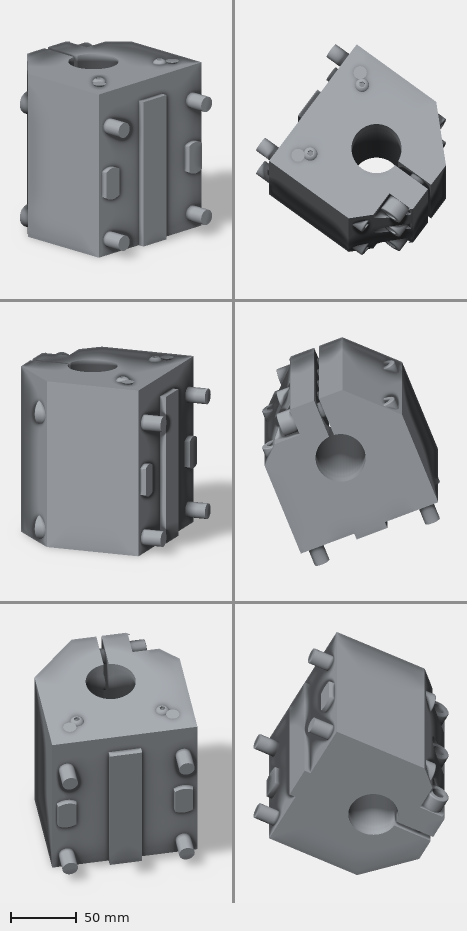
import cadquery as cq

BODY_HEIGHT = 130.0
BODY_WIDTH = 112.0
X_FRONT = -50.0
X_BACK = 60.0
CORNER_CHAMFER = 35.0
BORE_DIAMETER = 38.0
SLIT_WIDTH = 4.0

SHANK_DIAMETER = 12.0
HEAD_DIAMETER = 18.0
HEAD_HEIGHT = 12.0
HEAD_EDGE_FILLET = 0.9
SOCKET_DIAMETER = 10.0
SOCKET_DEPTH = 6.0

CLAMP_SCREW_X = -38.0
CLAMP_SEAT_Y = 22.0
CLAMP_SHANK_LENGTH = 40.0
CLAMP_END_OFFSET = 10.0
CLAMP_SCREW_Z = (CLAMP_END_OFFSET, BODY_HEIGHT / 2, BODY_HEIGHT - CLAMP_END_OFFSET)
POCKET_DIAMETER = 19.0

JACK_SCREW_Z = [(low + high) / 2 for low, high in zip(CLAMP_SCREW_Z, CLAMP_SCREW_Z[1:])]
JACK_CYLINDER_END_Y = 0.3

MOUNT_PITCH = 90.0
MOUNT_LENGTH = 90.0
MOUNT_TIP_X = 76.0
MOUNT_CENTER_Z = 57.5

KEY_WIDTH = 25.0
KEY_THICKNESS = 5.0
KEY_HEIGHT = 2 * MOUNT_CENTER_Z
PAD_DIAMETER = 25.0
PAD_THICKNESS = 4.3
PAD_STRAIGHT = 1.7
PAD_FLATS_WIDTH = 14.8
PAD_FLATS_TIP_WIDTH = 13.8

BUTTON_X = 38.0
BUTTON_Y = 33.0
BUTTON_DIAMETER = 10.6
BUTTON_FLAT_DIAMETER = 5.6
BUTTON_HEIGHT = 2.5
BUTTON_BULGE = 0.3
BUTTON_HEX_CORNERS = 4.6
BUTTON_HEX_DEPTH = 2.0
COUNTERSUNK_X = 44.7
COUNTERSUNK_Y = 39.7
COUNTERSUNK_DIAMETER = 10.0
COUNTERSUNK_RISE = 1.5


def cap_screw(shank_length):
    """Cap screw along Z: the shank ends at z = 0 and the head is on top."""
    shank = cq.Workplane("XY").circle(SHANK_DIAMETER / 2).extrude(shank_length)
    head = cq.Workplane("XY").circle(HEAD_DIAMETER / 2).extrude(HEAD_HEIGHT)
    head = head.faces(">Z").edges().fillet(HEAD_EDGE_FILLET)
    head = head.faces(">Z").workplane().hole(SOCKET_DIAMETER, SOCKET_DEPTH)
    return shank.union(head.translate((0, 0, shank_length)))


def block():
    """Chamfered block with the vertical bore and the slit that opens it to the front."""
    body = cq.Workplane("XY").box(X_BACK - X_FRONT, BODY_WIDTH, BODY_HEIGHT, centered=(False, True, False))
    body = body.translate((X_FRONT, 0, 0)).edges("|Z and <X").chamfer(CORNER_CHAMFER)
    bore = cq.Workplane("XY").circle(BORE_DIAMETER / 2).extrude(BODY_HEIGHT)
    slit = cq.Workplane("XY").box(-X_FRONT, SLIT_WIDTH, BODY_HEIGHT, centered=(False, True, False))
    return body.cut(bore).cut(slit.translate((X_FRONT, 0, 0)))


def clamp_pockets():
    """Round head pockets parallel to Y, all open to the front, the end ones also to the top and bottom."""
    depth = BODY_WIDTH / 2 - CLAMP_SEAT_Y
    seat = cq.Workplane("XZ", origin=(CLAMP_SCREW_X, CLAMP_SEAT_Y, 0))
    pockets = seat.pushPoints([(0, z) for z in CLAMP_SCREW_Z]).circle(POCKET_DIAMETER / 2).extrude(-depth)
    front_length = CLAMP_SCREW_X - X_FRONT
    for z in CLAMP_SCREW_Z:
        front_opening = seat.center(-front_length / 2, z).rect(front_length, POCKET_DIAMETER).extrude(-depth)
        pockets = pockets.union(front_opening)
    for z in (CLAMP_END_OFFSET / 2, BODY_HEIGHT - CLAMP_END_OFFSET / 2):
        pockets = pockets.union(seat.center(0, z).rect(POCKET_DIAMETER, CLAMP_END_OFFSET).extrude(-depth))
    return pockets


def clamp_screw(z):
    """Cap screw along Y with its head seated in a pocket."""
    screw = cap_screw(CLAMP_SHANK_LENGTH).rotate((0, 0, 0), (1, 0, 0), -90)
    return screw.translate((CLAMP_SCREW_X, CLAMP_SEAT_Y - CLAMP_SHANK_LENGTH, z))


def jack_screw(z):
    """Screw end that crosses the slit, with a 45 degree cone pressing on the far wall."""
    radius = SHANK_DIAMETER / 2
    wall_y = SLIT_WIDTH / 2
    tip_radius = radius - (JACK_CYLINDER_END_Y + wall_y)
    profile = cq.Workplane("XY").polyline(
        [(0, wall_y), (radius, wall_y), (radius, JACK_CYLINDER_END_Y), (tip_radius, -wall_y), (0, -wall_y)]
    )
    return profile.close().revolve(360, (0, 0, 0), (0, 1, 0)).translate((CLAMP_SCREW_X, 0, z))


def mount_screw(y, z):
    """Cap screw along X with its head facing the front."""
    screw = cap_screw(MOUNT_LENGTH).rotate((0, 0, 0), (0, 1, 0), -90)
    return screw.translate((MOUNT_TIP_X, y, z))


def key():
    """Upright rectangular key on the back face."""
    bar = cq.Workplane("XY").box(KEY_THICKNESS, KEY_WIDTH, KEY_HEIGHT, centered=(False, True, False))
    return bar.translate((X_BACK, 0, 0))


def locating_pad(y):
    """Disc on the back face with two flats that taper towards its tip."""
    disc = cq.Workplane("YZ").circle(PAD_DIAMETER / 2).extrude(PAD_THICKNESS)
    base = PAD_FLATS_WIDTH / 2
    tip = PAD_FLATS_TIP_WIDTH / 2
    between_flats = cq.Workplane("XY").polyline(
        [(0, -base), (PAD_STRAIGHT, -base), (PAD_THICKNESS, -tip),
         (PAD_THICKNESS, tip), (PAD_STRAIGHT, base), (0, base)]
    ).close().extrude(PAD_DIAMETER / 2, both=True)
    return disc.intersect(between_flats).translate((X_BACK, y, MOUNT_CENTER_Z))


def button_head(y):
    """Domed screw head with a hexagon socket on the top face."""
    rim = BUTTON_DIAMETER / 2
    flat = BUTTON_FLAT_DIAMETER / 2
    dome_middle = ((rim + flat) / 2 + BUTTON_BULGE, BUTTON_HEIGHT / 2 + BUTTON_BULGE)
    profile = cq.Workplane("XZ").lineTo(rim, 0).threePointArc(dome_middle, (flat, BUTTON_HEIGHT))
    head = profile.lineTo(0, BUTTON_HEIGHT).close().revolve(360, (0, 0, 0), (0, 1, 0))
    hex_floor = BUTTON_HEIGHT - BUTTON_HEX_DEPTH
    socket = cq.Workplane("XY", origin=(0, 0, hex_floor)).polygon(6, BUTTON_HEX_CORNERS)
    head = head.cut(socket.extrude(BUTTON_HEX_DEPTH))
    return head.translate((BUTTON_X, y, BODY_HEIGHT))


def countersunk_head(y):
    """Part of a 90 degree countersunk head that stands above the top face."""
    top_radius = COUNTERSUNK_DIAMETER / 2
    base_radius = top_radius - COUNTERSUNK_RISE
    cone = cq.Solid.makeCone(base_radius, top_radius, COUNTERSUNK_RISE)
    return cq.Workplane(cone).translate((COUNTERSUNK_X, y, BODY_HEIGHT))


result = block().cut(clamp_pockets()).union(key())

for height in CLAMP_SCREW_Z:
    result = result.union(clamp_screw(height))

for height in JACK_SCREW_Z:
    result = result.union(jack_screw(height))

for side in (-1, 1):
    mount_y = side * MOUNT_PITCH / 2
    for level in (-1, 1):
        result = result.union(mount_screw(mount_y, MOUNT_CENTER_Z + level * MOUNT_PITCH / 2))
    result = result.union(locating_pad(mount_y))
    result = result.union(button_head(side * BUTTON_Y))
    result = result.union(countersunk_head(side * COUNTERSUNK_Y))